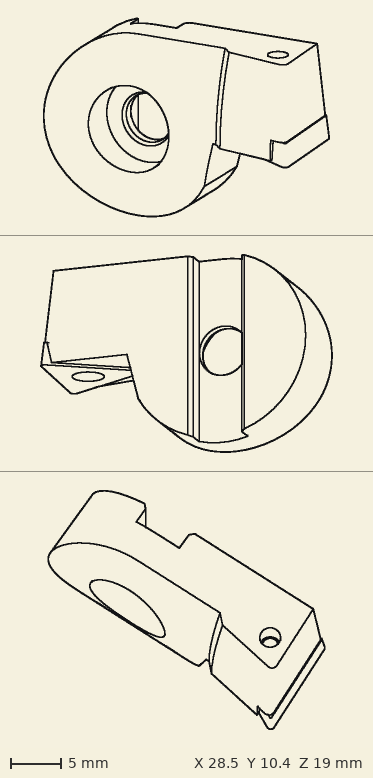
import cadquery as cq
import math


overall_length = 28.5
eye_diameter = 19.0
eye_radius = eye_diameter / 2
eye_thickness = 7.5
crown_drop = 1.97
step_start_x = 9.78
step_size = 0.95
head_front_angle = 10.0
underside_x = 9.43
relief_x = 8.25
end_top_x = 17.2
clearance_angle = 7.0
lead_angle = 2.9
corner_radius = 0.57
margin = 2.85

bore_radius = 2.55
bore_chamfer = 0.25
bore_chamfer_depth = 0.43
counterbore_radius = 4.5
counterbore_floor = 3.53
slot_width = 5.15
slot_depth = 2.1
slot_chamfer = 0.43

insert_nose_radius = 0.4
insert_core_radius = 5.55
insert_reach = insert_core_radius * math.cos(math.radians(60 - lead_angle)) + insert_nose_radius
insert_center = (overall_length - eye_radius - insert_reach, -4.93)
insert_bottom = -0.28
insert_height = 2.42
relief_start_x = 16.9
relief_back_y = -7.98

screw_center = (15.35, -4.9)
screw_radius = 1.03
screw_tip_z = 7.12
screw_tip_chamfer = 0.23
screw_head_radius = 1.6
screw_cone_height = screw_head_radius - screw_radius


def crowned_section(x, front):
    """YZ wire with a flat back and an arched front that reaches -front at Z = 0."""
    edge_y = -(front - crown_drop)
    return (
        cq.Workplane("YZ", origin=(x, 0, 0))
        .moveTo(0, -eye_radius)
        .lineTo(edge_y, -eye_radius)
        .threePointArc((-front, 0), (edge_y, eye_radius))
        .lineTo(0, eye_radius)
        .close()
        .val()
    )


def make_crowned_blank():
    head_start_x = step_start_x + step_size
    head_start_front = eye_thickness + step_size
    end_x = end_top_x + margin
    end_front = head_start_front + (end_x - head_start_x) * math.tan(math.radians(head_front_angle))
    stations = [
        (-eye_radius - margin, eye_thickness),
        (step_start_x, eye_thickness),
        (head_start_x, head_start_front),
        (end_x, end_front),
    ]
    sections = [crowned_section(x, front) for x, front in stations]
    return cq.Workplane(cq.Solid.makeLoft(sections, True))


def make_side_outline():
    """Eye and head outline in XZ, long enough in Y to trim the blank."""
    relief_z = -math.sqrt(eye_radius**2 - relief_x**2)
    end_x = end_top_x + margin
    depth = 2 * eye_thickness
    return (
        cq.Workplane("XZ")
        .moveTo(0, eye_radius)
        .lineTo(end_x, eye_radius)
        .lineTo(end_x, 0)
        .lineTo(underside_x, 0)
        .lineTo(relief_x, relief_z)
        .threePointArc((-eye_radius, 0), (0, eye_radius))
        .close()
        .extrude(depth)
    )


def make_end_trim():
    """Wedge-sided block beyond the leaning, turned end face of the head."""
    end_bottom_x = end_top_x + eye_radius * math.tan(math.radians(clearance_angle))
    far_x = end_bottom_x + 2 * margin
    return (
        cq.Workplane("XZ")
        .moveTo(end_top_x, eye_radius)
        .lineTo(far_x, eye_radius)
        .lineTo(far_x, 0)
        .lineTo(end_bottom_x, 0)
        .close()
        .extrude(2 * eye_thickness, both=True)
        .rotate((end_top_x, 0, 0), (end_top_x, 0, 1), lead_angle)
    )


def make_key_slot():
    half = slot_width / 2
    mouth = half + slot_chamfer
    return (
        cq.Workplane("XY")
        .polyline([
            (-mouth, 0),
            (-half, -slot_chamfer),
            (-half, -slot_depth),
            (half, -slot_depth),
            (half, -slot_chamfer),
            (mouth, 0),
        ])
        .close()
        .extrude(eye_radius, both=True)
    )


def make_bore():
    """Stepped bore about the Y axis, with a chamfer at the counterbore floor."""
    return (
        cq.Workplane("XY")
        .polyline([
            (0, 0),
            (bore_radius, 0),
            (bore_radius, bore_chamfer_depth - counterbore_floor),
            (bore_radius + bore_chamfer, -counterbore_floor),
            (counterbore_radius, -counterbore_floor),
            (counterbore_radius, -eye_thickness - margin),
            (0, -eye_thickness - margin),
        ])
        .close()
        .revolve(360, (0, 0, 0), (0, 1, 0))
    )


def make_insert_blank():
    corner_angles = [math.radians(lead_angle + turn) for turn in (60, 180, 300)]
    corners = [
        (insert_core_radius * math.cos(a), insert_core_radius * math.sin(a))
        for a in corner_angles
    ]
    return (
        cq.Workplane("XY", origin=(*insert_center, insert_bottom))
        .polyline(corners)
        .close()
        .offset2D(insert_nose_radius)
        .extrude(insert_height, taper=clearance_angle)
    )


def make_insert_relief():
    """Block that bares the insert flank next to its front cutting corner."""
    relief_top = insert_bottom + insert_height
    return cq.Workplane("XY").box(
        2 * margin, 2 * margin, relief_top, centered=False
    ).translate((relief_start_x, relief_back_y - 2 * margin, 0))


def make_screw():
    """Countersunk screw, its head flush with the insert underside."""
    shank_bottom = insert_bottom + screw_cone_height
    return (
        cq.Workplane("XZ")
        .polyline([
            (0, insert_bottom),
            (screw_head_radius, insert_bottom),
            (screw_radius, shank_bottom),
            (screw_radius, screw_tip_z - screw_tip_chamfer),
            (screw_radius - screw_tip_chamfer, screw_tip_z),
            (0, screw_tip_z),
        ])
        .close()
        .revolve(360, (0, 0, 0), (0, 1, 0))
        .translate((*screw_center, 0))
    )


def make_holder():
    body = make_crowned_blank().intersect(make_side_outline()).cut(make_end_trim())
    front_corner = cq.selectors.BoxSelector(
        (end_top_x, -eye_thickness - margin, 0),
        (end_top_x + margin, -eye_thickness / 2, eye_radius),
    )
    body = body.edges(front_corner).fillet(corner_radius)
    screw_hole = (
        cq.Workplane("XY")
        .center(*screw_center)
        .circle(screw_radius)
        .extrude(eye_radius)
    )
    body = body.cut(make_key_slot()).cut(make_bore()).cut(screw_hole)
    return body.cut(make_insert_blank()).cut(make_insert_relief())


holder = make_holder()
screw = make_screw()
insert = make_insert_blank().cut(screw)

result = cq.Compound.makeCompound([
    holder.solids().val(),
    insert.solids().val(),
    screw.solids().val(),
])